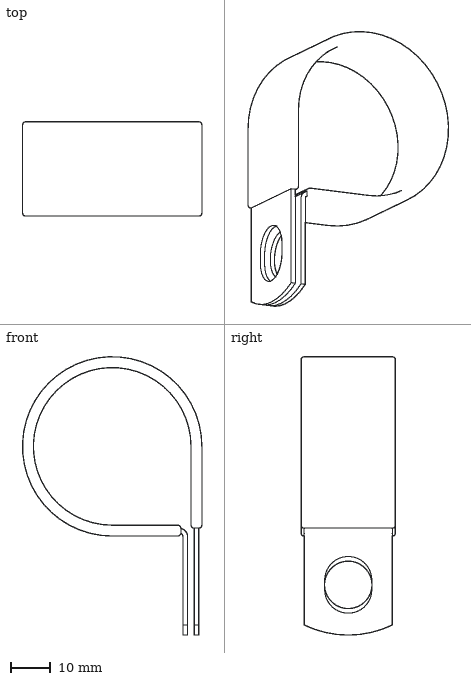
import cadquery as cq
import math


loop_inner_diameter = 39.6875
strap_thickness = 1.21412
cushion_cover = 0.79375
cushion_width = 23.8125
cushion_floor_end = 17.3
cushion_wall_end = -20.6375
leg_gap = 1.5875
bend_inner_radius = 1.0
leg_tip = -47.625
tip_radius = 25.4
hole_diameter = 11.90625
slot_length = 14.2875
hole_to_tip = 12.7

cushion_thickness = strap_thickness + 2 * cushion_cover
strap_width = cushion_width - 2 * cushion_cover
cushion_inner_radius = loop_inner_diameter / 2
cushion_outer_radius = cushion_inner_radius + cushion_thickness
strap_inner_radius = cushion_inner_radius + cushion_cover
strap_outer_radius = strap_inner_radius + strap_thickness
near_leg_outer_x = strap_inner_radius - leg_gap
near_leg_inner_x = near_leg_outer_x - strap_thickness
bend_outer_radius = bend_inner_radius + strap_thickness
bend_center_x = near_leg_inner_x - bend_inner_radius
bend_center_z = -strap_outer_radius - bend_inner_radius
hole_z = leg_tip + hole_to_tip


def loop_band(inner_radius, outer_radius, floor_end, wall_end, width):
    """Three-quarter loop with a straight floor along +X and a straight wall along -Z."""
    inner_mid = inner_radius * math.sqrt(0.5)
    outer_mid = outer_radius * math.sqrt(0.5)
    return (
        cq.Workplane("XZ")
        .moveTo(floor_end, -outer_radius)
        .lineTo(0, -outer_radius)
        .threePointArc((-outer_mid, outer_mid), (outer_radius, 0))
        .lineTo(outer_radius, wall_end)
        .lineTo(inner_radius, wall_end)
        .lineTo(inner_radius, 0)
        .threePointArc((-inner_mid, inner_mid), (0, -inner_radius))
        .lineTo(floor_end, -inner_radius)
        .close()
        .extrude(width / 2, both=True)
    )


def make_cushion():
    """Cushion around the loop, with rounded rims and ends."""
    band = loop_band(
        cushion_inner_radius, cushion_outer_radius, cushion_floor_end, cushion_wall_end, cushion_width
    )
    floor_end_point = (cushion_floor_end, 0, -strap_outer_radius)
    wall_end_point = (strap_outer_radius, 0, cushion_wall_end)
    side_faces = band.faces("|Y")
    floor_end_face = band.faces(cq.selectors.NearestToPointSelector(floor_end_point))
    wall_end_face = band.faces(cq.selectors.NearestToPointSelector(wall_end_point))
    rounded_edges = side_faces.add(floor_end_face).add(wall_end_face).edges()
    return rounded_edges.fillet(cushion_cover)


def make_near_leg():
    """Bend from the end of the loop floor down into the near mounting leg."""
    return (
        cq.Workplane("XZ")
        .moveTo(bend_center_x, -strap_inner_radius)
        .radiusArc((near_leg_outer_x, bend_center_z), bend_outer_radius)
        .lineTo(near_leg_outer_x, leg_tip)
        .lineTo(near_leg_inner_x, leg_tip)
        .lineTo(near_leg_inner_x, bend_center_z)
        .radiusArc((bend_center_x, -strap_outer_radius), -bend_inner_radius)
        .close()
        .extrude(strap_width / 2, both=True)
    )


def make_tip_trim():
    """Material below the arc that rounds the tips of both legs."""
    block = (
        cq.Workplane("YZ")
        .center(0, leg_tip)
        .rect(cushion_width, hole_to_tip)
        .extrude(cushion_outer_radius)
    )
    kept_disc = (
        cq.Workplane("YZ")
        .center(0, leg_tip + tip_radius)
        .circle(tip_radius)
        .extrude(cushion_outer_radius)
    )
    return block.cut(kept_disc)


def make_near_hole():
    """Round bolt hole through the near leg."""
    return (
        cq.Workplane("YZ")
        .center(0, hole_z)
        .circle(hole_diameter / 2)
        .extrude(near_leg_outer_x)
    )


def make_far_slot():
    """Upright bolt slot through the far leg, as wide as the near hole."""
    return (
        cq.Workplane("YZ", origin=(near_leg_outer_x, 0, hole_z))
        .slot2D(slot_length, hole_diameter, 90)
        .extrude(leg_gap + strap_thickness)
    )


def make_strap():
    """Metal strap: the loop, both legs, rounded tips and the bolt openings."""
    loop = loop_band(strap_inner_radius, strap_outer_radius, bend_center_x, leg_tip, strap_width)
    blank = loop.union(make_near_leg()).cut(make_tip_trim())
    return blank.cut(make_near_hole()).cut(make_far_slot())


result = make_cushion().union(make_strap())